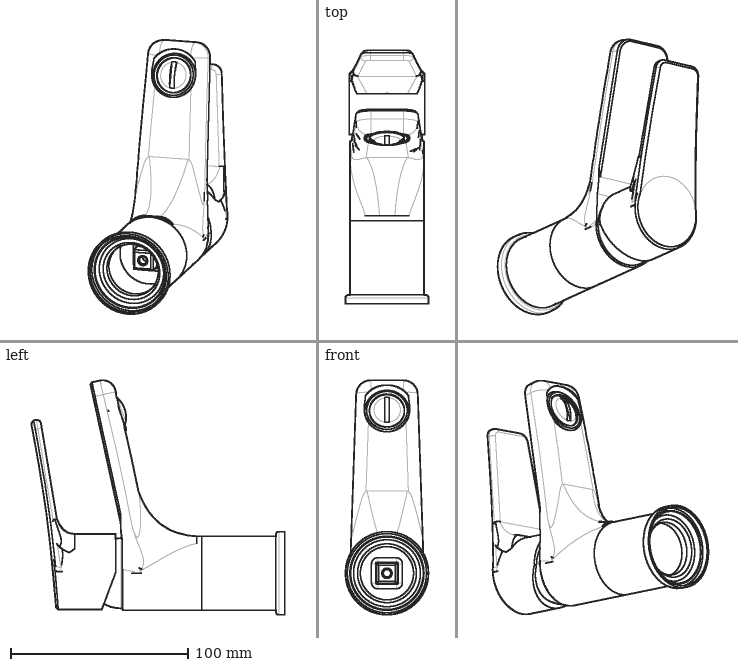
import cadquery as cq
import math


FLANGE_RADIUS = 23.5
FLANGE_LENGTH = 5.0
FLANGE_BACK_FILLET = 1.5
FLANGE_MOUTH_RADIUS = 22.3
FLANGE_MOUTH_DEPTH = 3.5
TUBE_RADIUS = 20.9
SLEEVE_END = 47.0
SLEEVE_RIM_RADIUS = 20.5
SLEEVE_SEAT_RADIUS = 18.9
SLEEVE_SEAT_Y = 6.6
LIP_MOUTH_RADIUS = 16.6
LIP_BORE_RADIUS = 15.0
LIP_BORE_START = 8.9
LIP_BORE_END = 12.9
SLEEVE_BORE_RADIUS = LIP_MOUTH_RADIUS

CARTRIDGE_LENGTH = 17.2
CARTRIDGE_FACE_Y = SLEEVE_END - 5.7
STEM_BASE_WIDTH = 17.5
STEM_BASE_CORNER = 3.5
STEM_BASE_HEIGHT = 2.9
STEM_BASE_TAPER = 40.0
STEM_WIDTH = 11.5
STEM_HEIGHT = 11.5
STEM_CHAMFER = 1.1
SCREW_HOLE_RADIUS = 2.1
SCREW_HOLE_CHAMFER = 0.7
SCREW_HOLE_DEPTH = 7.2

SPOUT_END = 91.8
SPOUT_END_CHAMFER_LENGTH = 0.5
SPOUT_END_CHAMFER_DROP = 1.6
ARM_TIP_BACK = (110.0, 107.5)
ARM_FRONT_HEAD = (100.8, 123.1)
ARM_FRONT_MIDDLE = (86.0, 63.0)
ARM_FRONT_FOOT = (74.2, 0.0)
ARM_BACK_KNEE = (SPOUT_END, 24.2)
ARM_TIP_HALF_WIDTH = 17.2
ARM_TIP_CORNER = 8.3
ARM_FRONT_FILLET = 7.5
ARM_BACK_CHAMFER = 1.1
ARM_BLEND_RADIUS = 34.4
ARM_BLEND_ARCHES = [
    (0.0, 4.3, 17.2, 18.6),
    (0.4, 6.5, 20.9, 27.2),
    (1.0, 11.9, 19.2, 7.5),
]

OUTLET_CENTRE = (92.2, 92.2)
OUTLET_TILT = 20.0
OUTLET_DEPTH = 7.2
RECESS_LIP_RADIUS = 14.7
RECESS_RADIUS = 12.5
NOZZLE_BORE_RADIUS = 9.9
NOZZLE_CHAMFER = 1.0
NOZZLE_FACE_DEPTH = 1.1
DOME_RADIUS = 7.5
DOME_RISE = 2.0
DOME_MIDDLE_SHARE = 0.77
SLOT_WIDTH = 2.7

BALL_RADIUS = 19.9
BALL_CENTRE_Y = 92.5
BALL_END_Y = 106.0

HANDLE_RADIUS = 21.3
HANDLE_AXIS_Z = 0.9
HANDLE_FRONT_Y = 95.5
HANDLE_CUT_TOP = 0.3
HANDLE_CUT_END_Y = 103.2
LEVER_BACK_FOOT = (129.0, -20.5)
LEVER_BACK_MIDDLE = (133.8, 28.6)
LEVER_BACK_TIP = (143.5, 86.0)
LEVER_FRONT_TIP = (138.0, 87.6)
LEVER_FRONT_FOOT = (123.5, HANDLE_AXIS_Z)
LEVER_TIP_HALF_WIDTH = 14.3
LEVER_TIP_CORNER = 5.5
LEVER_FRONT_FILLET = 2.5
LEVER_BACK_CHAMFER = 1.7
BARREL_BACK_CHAMFER = 1.1
LEVER_BLEND_RADIUS = 10.0
LEVER_BLEND_ARCHES = [
    (0.0, 11.5, 17.2, 11.5),
    (0.4, 14.3, 20.6, 8.6),
    (1.0, 16.9, 19.2, 2.1),
]

OVERSIZE = 28.6
QUARTER_ELLIPSE_HANDLE = 0.5523


def revolve_on_y(points):
    """Revolve a closed (radius, y) outline about the Y axis."""
    return cq.Workplane("XY").polyline(points).close().revolve(360, (0, 0, 0), (0, 1, 0))


def tube(radius, start, end, axis_z=0.0):
    """Solid cylinder along Y."""
    return cq.Workplane("XZ", origin=(0, start, axis_z)).circle(radius).extrude(start - end)


def side_prism(points):
    """Prism of a (y, z) polygon, symmetric about X = 0."""
    return cq.Workplane("YZ").polyline(points).close().extrude(OVERSIZE, both=True)


def point_on_line(first, last, z):
    """Point at height z on the (y, z) line through two points."""
    share = (z - first[1]) / (last[1] - first[1])
    return (first[0] + share * (last[0] - first[0]), z)


def paddle_blank(back_line, foot_z, foot_half_width, tip_half_width, corner):
    """Thick block tapering along its leaning back to a tip with round corners."""
    foot_y = point_on_line(*back_line, foot_z)[0]
    lean = math.atan2(back_line[1][0] - foot_y, back_line[1][1] - foot_z)
    length = (back_line[1][1] - foot_z) / math.cos(lean)
    outline_plane = cq.Plane(
        origin=(0, foot_y, foot_z), xDir=(1, 0, 0), normal=(0, -math.cos(lean), math.sin(lean))
    )
    taper = (foot_half_width - tip_half_width) / length
    heel = -OVERSIZE
    heel_half_width = foot_half_width - taper * heel
    outline = [
        (-heel_half_width, heel),
        (heel_half_width, heel),
        (tip_half_width, length),
        (-tip_half_width, length),
    ]
    blank = cq.Workplane(outline_plane).polyline(outline).close().extrude(2 * OVERSIZE, both=True)
    tip_face = cq.selectors.DirectionMinMaxSelector(outline_plane.yDir, True)
    return blank.faces(tip_face).edges("not |X").fillet(corner)


def face_rim(plate, point):
    """Side and tip edges of the plate face nearest to a (y, z) point."""
    return plate.faces(cq.selectors.NearestToPointSelector((0, *point))).edges("not <Z")


def blend_section(centre, radius, angle, flat, half_width, depth):
    """Arch in the plane through the X-parallel fillet axis, `angle` degrees from straight down.

    A flat crown at `radius` from the axis rolls over in quarter ellipses down to `half_width`.
    """
    swing = math.radians(angle)
    roll = half_width - flat

    def at(x, reach):
        return cq.Vector(x, centre[0] + reach * math.sin(swing), centre[1] - reach * math.cos(swing))

    def shoulder(side):
        return cq.Edge.makeBezier([
            at(side * flat, radius),
            at(side * (flat + QUARTER_ELLIPSE_HANDLE * roll), radius),
            at(side * half_width, radius + (1 - QUARTER_ELLIPSE_HANDLE) * depth),
            at(side * half_width, radius + depth),
        ])

    crown = cq.Edge.makeLine(at(-flat, radius), at(flat, radius))
    chord = cq.Edge.makeLine(at(half_width, radius + depth), at(-half_width, radius + depth))
    return cq.Wire.assembleEdges([crown, shoulder(1), chord, shoulder(-1)])


def concave_blend(front_line, crest_z, radius, arches):
    """Concave blend from the crest of a cylinder up to the front line of a paddle."""
    corner = point_on_line(*front_line, crest_z)
    run = front_line[1][0] - front_line[0][0]
    rise = front_line[1][1] - front_line[0][1]
    swing = 90 - math.degrees(math.atan2(run, rise))
    centre = (corner[0] - radius * math.tan(math.radians(swing / 2)), crest_z + radius)
    sections = [blend_section(centre, radius, share * swing, *sizes) for share, *sizes in arches]
    return cq.Workplane(cq.Solid.makeLoft(sections))


def make_flange():
    ring = tube(FLANGE_RADIUS, 0, FLANGE_LENGTH).faces(">Y").edges().fillet(FLANGE_BACK_FILLET)
    ring = ring.cut(tube(FLANGE_MOUTH_RADIUS, 0, FLANGE_MOUTH_DEPTH))
    return ring.cut(tube(TUBE_RADIUS, 0, FLANGE_LENGTH))


def make_sleeve():
    return revolve_on_y([
        (TUBE_RADIUS, FLANGE_MOUTH_DEPTH),
        (SLEEVE_RIM_RADIUS, FLANGE_MOUTH_DEPTH),
        (SLEEVE_SEAT_RADIUS, SLEEVE_SEAT_Y),
        (LIP_MOUTH_RADIUS, SLEEVE_SEAT_Y),
        (LIP_BORE_RADIUS, LIP_BORE_START),
        (LIP_BORE_RADIUS, LIP_BORE_END),
        (SLEEVE_BORE_RADIUS, LIP_BORE_END),
        (SLEEVE_BORE_RADIUS, SLEEVE_END),
        (TUBE_RADIUS, SLEEVE_END),
    ])


def make_cartridge():
    return tube(SLEEVE_BORE_RADIUS, CARTRIDGE_FACE_Y, CARTRIDGE_FACE_Y + CARTRIDGE_LENGTH)


def make_stem():
    face = cq.Workplane("XZ", origin=(0, CARTRIDGE_FACE_Y, 0))
    base = (
        face.sketch().rect(STEM_BASE_WIDTH, STEM_BASE_WIDTH).vertices().fillet(STEM_BASE_CORNER).finalize()
        .extrude(STEM_BASE_HEIGHT, taper=STEM_BASE_TAPER)
    )
    post = face.rect(STEM_WIDTH, STEM_WIDTH).extrude(STEM_HEIGHT).faces("<Y").chamfer(STEM_CHAMFER)
    stem = base.union(post)
    stem = stem.faces("<Y").workplane(origin=(0, 0, 0)).hole(2 * SCREW_HOLE_RADIUS, SCREW_HOLE_DEPTH)
    return stem.faces("<Y").edges("%CIRCLE").chamfer(SCREW_HOLE_CHAMFER)


def outlet_plane(offset):
    """Plane of the tilted outlet, moved outwards by offset; local Y points up the arm."""
    tilt = math.radians(OUTLET_TILT)
    normal = cq.Vector(0, -math.cos(tilt), math.sin(tilt))
    origin = cq.Vector(0, *OUTLET_CENTRE) + normal * offset
    return cq.Plane(origin=origin, xDir=(1, 0, 0), normal=normal)


def outlet_recess():
    """Round pocket whose mouth flares out in a convex lip."""
    lip = RECESS_LIP_RADIUS - RECESS_RADIUS
    bend = lip * (1 - math.sqrt(0.5))
    profile = (
        cq.Workplane(outlet_plane(0)).transformed(rotate=(90, 0, 0))
        .moveTo(0, -OUTLET_DEPTH)
        .lineTo(RECESS_RADIUS, -OUTLET_DEPTH)
        .lineTo(RECESS_RADIUS, -lip)
        .threePointArc((RECESS_RADIUS + bend, -bend), (RECESS_LIP_RADIUS, 0))
        .lineTo(RECESS_LIP_RADIUS, OUTLET_DEPTH)
        .lineTo(0, OUTLET_DEPTH)
        .close()
    )
    return profile.revolve(360, (0, 0, 0), (0, 1, 0))


def make_arm(blank):
    side = (
        cq.Workplane("YZ")
        .moveTo(*ARM_FRONT_FOOT)
        .lineTo(SPOUT_END, 0)
        .lineTo(*ARM_BACK_KNEE)
        .lineTo(*point_on_line(ARM_BACK_KNEE, ARM_TIP_BACK, ARM_FRONT_HEAD[1]))
        .lineTo(*ARM_FRONT_HEAD)
        .threePointArc(ARM_FRONT_MIDDLE, ARM_FRONT_FOOT)
        .close()
        .extrude(OVERSIZE, both=True)
    )
    arm = side.intersect(blank)
    arm = face_rim(arm, ARM_FRONT_MIDDLE).fillet(ARM_FRONT_FILLET)
    back_middle = point_on_line(ARM_BACK_KNEE, ARM_TIP_BACK, ARM_FRONT_MIDDLE[1])
    return face_rim(arm, back_middle).chamfer(ARM_BACK_CHAMFER)


def make_spout(cartridge):
    blank = paddle_blank(
        (ARM_BACK_KNEE, ARM_TIP_BACK), 0, TUBE_RADIUS, ARM_TIP_HALF_WIDTH, ARM_TIP_CORNER
    )
    blend = concave_blend(
        (ARM_FRONT_FOOT, ARM_FRONT_MIDDLE), TUBE_RADIUS, ARM_BLEND_RADIUS, ARM_BLEND_ARCHES
    )
    spout = tube(TUBE_RADIUS, SLEEVE_END, SPOUT_END)
    spout = spout.faces(">Y").chamfer(SPOUT_END_CHAMFER_LENGTH, SPOUT_END_CHAMFER_DROP)
    spout = spout.union(make_arm(blank)).union(blend.intersect(blank))
    return spout.cut(outlet_recess()).cut(cartridge)


def make_nozzle_ring():
    height = OUTLET_DEPTH - NOZZLE_FACE_DEPTH
    floor = cq.Workplane(outlet_plane(-OUTLET_DEPTH))
    outer_face = cq.selectors.NearestToPointSelector(outlet_plane(0).origin.toTuple())
    ring = floor.circle(RECESS_RADIUS).extrude(height).faces(outer_face).chamfer(NOZZLE_CHAMFER)
    bore = cq.Workplane(outlet_plane(-OUTLET_DEPTH)).circle(NOZZLE_BORE_RADIUS).extrude(height)
    return ring.cut(bore)


def make_nozzle_insert():
    floor = -OUTLET_DEPTH
    shelf = -2 * NOZZLE_FACE_DEPTH
    insert = (
        cq.Workplane(outlet_plane(0)).transformed(rotate=(90, 0, 0))
        .moveTo(0, floor)
        .lineTo(NOZZLE_BORE_RADIUS, floor)
        .lineTo(NOZZLE_BORE_RADIUS, shelf)
        .lineTo(DOME_RADIUS, 0)
        .threePointArc((DOME_RADIUS / 2, DOME_MIDDLE_SHARE * DOME_RISE), (0, DOME_RISE))
        .close()
        .revolve(360, (0, 0, 0), (0, 1, 0))
    )
    slot = cq.Workplane(outlet_plane(0)).rect(SLOT_WIDTH, 2 * DOME_RADIUS).extrude(OUTLET_DEPTH)
    return insert.cut(slot)


def make_ball():
    tip_radius = math.sqrt(BALL_RADIUS**2 - (BALL_END_Y - BALL_CENTRE_Y)**2)
    middle_y = (BALL_CENTRE_Y + BALL_END_Y) / 2
    middle_radius = math.sqrt(BALL_RADIUS**2 - (middle_y - BALL_CENTRE_Y)**2)
    return (
        cq.Workplane("XY")
        .moveTo(0, SPOUT_END)
        .lineTo(BALL_RADIUS, SPOUT_END)
        .lineTo(BALL_RADIUS, BALL_CENTRE_Y)
        .threePointArc((middle_radius, middle_y), (tip_radius, BALL_END_Y))
        .lineTo(0, BALL_END_Y)
        .close()
        .revolve(360, (0, 0, 0), (0, 1, 0))
    )


def hollow_back():
    """Space behind the handle, bounded by its gently hollow back."""
    far_y = LEVER_BACK_TIP[0] + OVERSIZE
    low_z = LEVER_BACK_FOOT[1] - OVERSIZE
    return (
        cq.Workplane("YZ")
        .moveTo(*LEVER_BACK_FOOT)
        .threePointArc(LEVER_BACK_MIDDLE, LEVER_BACK_TIP)
        .lineTo(far_y, LEVER_BACK_TIP[1] + OVERSIZE)
        .lineTo(far_y, low_z)
        .lineTo(LEVER_BACK_FOOT[0], low_z)
        .close()
        .extrude(OVERSIZE, both=True)
    )


def make_barrel():
    """Barrel of the handle, its lower front cut back at a slant."""
    bottom_z = HANDLE_AXIS_Z - HANDLE_RADIUS
    slant = side_prism([
        (HANDLE_FRONT_Y, HANDLE_CUT_TOP),
        (HANDLE_CUT_END_Y, bottom_z),
        (HANDLE_CUT_END_Y, bottom_z - OVERSIZE),
        (HANDLE_FRONT_Y, bottom_z - OVERSIZE),
    ])
    barrel = tube(HANDLE_RADIUS, HANDLE_FRONT_Y, LEVER_BACK_TIP[0], HANDLE_AXIS_Z).cut(slant)
    return barrel.cut(hollow_back()).faces(">Y").edges().chamfer(BARREL_BACK_CHAMFER)


def make_lever(blank, middle_z):
    head_z = LEVER_FRONT_TIP[1] + OVERSIZE
    far_y = LEVER_BACK_TIP[0] + OVERSIZE
    lever = side_prism([
        LEVER_FRONT_FOOT,
        point_on_line(LEVER_FRONT_FOOT, LEVER_FRONT_TIP, head_z),
        (far_y, head_z),
        (far_y, HANDLE_AXIS_Z),
    ]).intersect(blank)
    front_middle = point_on_line(LEVER_FRONT_FOOT, LEVER_FRONT_TIP, middle_z)
    lever = face_rim(lever, front_middle).fillet(LEVER_FRONT_FILLET)
    back_middle = point_on_line(LEVER_BACK_MIDDLE, LEVER_BACK_TIP, middle_z)
    return face_rim(lever.cut(hollow_back()), back_middle).chamfer(LEVER_BACK_CHAMFER)


def make_handle(ball):
    top_z = HANDLE_AXIS_Z + HANDLE_RADIUS
    blank = paddle_blank(
        (LEVER_BACK_FOOT, LEVER_BACK_TIP), HANDLE_AXIS_Z,
        HANDLE_RADIUS, LEVER_TIP_HALF_WIDTH, LEVER_TIP_CORNER,
    )
    blend = concave_blend(
        (LEVER_FRONT_FOOT, LEVER_FRONT_TIP), top_z, LEVER_BLEND_RADIUS, LEVER_BLEND_ARCHES
    )
    handle = make_barrel().union(make_lever(blank, 2 * top_z))
    return handle.union(blend.intersect(blank)).cut(ball)


flange = make_flange()
sleeve = make_sleeve()
cartridge = make_cartridge()
stem = make_stem()
spout = make_spout(cartridge)
nozzle_ring = make_nozzle_ring()
nozzle_insert = make_nozzle_insert()
ball = make_ball()
handle = make_handle(ball)

bodies = [flange, sleeve, cartridge, stem, spout, nozzle_ring, nozzle_insert, ball, handle]
result = cq.Compound.makeCompound([solid for body in bodies for solid in body.solids().vals()])